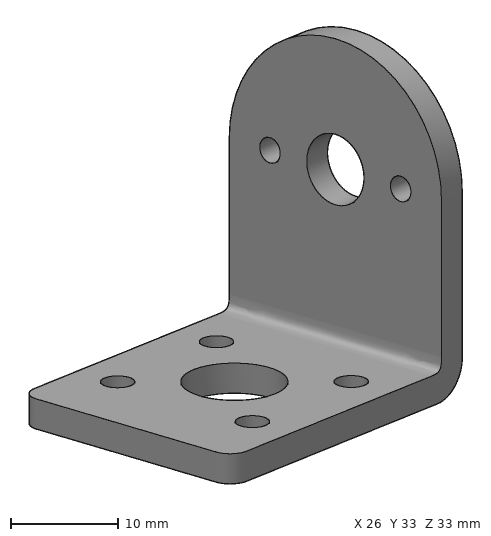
import cadquery as cq

length = 33.0
height = 33.0
width = 26.0
thickness = 3.0
corner_radius = 2.0

outer_bend_radius = 3.63
inner_blend_reach = 1.5
inner_blend_fullness = 0.85

top_radius = width / 2
upright_center_z = height - top_radius
upright_bore_diameter = 7.0
upright_hole_diameter = 2.5
upright_hole_spacing = 16.0

base_center_y = 15.5
base_bore_diameter = 10.0
base_hole_diameter = 3.2
base_hole_spacing_x = 16.5
base_hole_spacing_y = 14.2


def bent_strip():
    """L-shaped strip with a bend, extruded across the width."""
    inner_y = length - thickness
    control_offset = inner_blend_reach * (1 - inner_blend_fullness)
    return (
        cq.Workplane("YZ", origin=(-width / 2, 0, 0))
        .lineTo(length - outer_bend_radius, 0)
        .tangentArcPoint((outer_bend_radius, outer_bend_radius))
        .lineTo(length, height)
        .lineTo(inner_y, height)
        .lineTo(inner_y, thickness + inner_blend_reach)
        .bezier([
            (inner_y, thickness + inner_blend_reach),
            (inner_y, thickness + control_offset),
            (inner_y - control_offset, thickness),
            (inner_y - inner_blend_reach, thickness),
        ])
        .lineTo(0, thickness)
        .close()
        .extrude(width)
    )


def upright_outline():
    """Full-depth block with a semicircular top, used to trim the upright."""
    return (
        cq.Workplane("XZ")
        .moveTo(-width / 2, 0)
        .lineTo(width / 2, 0)
        .lineTo(width / 2, upright_center_z)
        .threePointArc((0, height), (-width / 2, upright_center_z))
        .close()
        .extrude(-length)
    )


def upright_holes():
    """Centre bore with a small hole on either side."""
    center = cq.Workplane("XZ").center(0, upright_center_z)
    bore = center.circle(upright_bore_diameter / 2).extrude(-length)
    side_holes = (
        center.rarray(upright_hole_spacing, 0.33, 2, 1)
        .circle(upright_hole_diameter / 2)
        .extrude(-length)
    )
    return bore.union(side_holes)


def base_holes():
    """Centre bore surrounded by a rectangle of four holes."""
    center = cq.Workplane("XY").center(0, base_center_y)
    bore = center.circle(base_bore_diameter / 2).extrude(thickness)
    corner_holes = (
        center.rarray(base_hole_spacing_x, base_hole_spacing_y, 2, 2)
        .circle(base_hole_diameter / 2)
        .extrude(thickness)
    )
    return bore.union(corner_holes)


bracket = bent_strip().intersect(upright_outline())
bracket = bracket.faces("<Y").edges("|Z").fillet(corner_radius)
result = bracket.cut(upright_holes()).cut(base_holes())